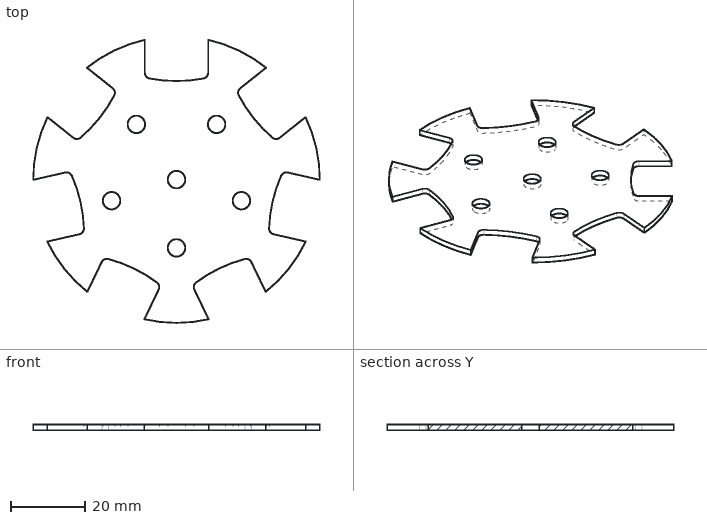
import cadquery as cq
import math

outer_radius = 38.7
thickness = 1.6

slot_count = 7
slot_width = 17.05
slot_floor_distance = 26.65
floor_arc_radius = 38.7
slot_corner_radius = 1.55

hole_diameter = 4.65
bolt_circle_radius = 18.4
bolt_hole_count = 5
first_bolt_angle = -90.0


def make_slot_cutter():
    """Open slot along +Y with a bulged floor and rounded floor corners."""
    half_width = slot_width / 2
    floor_rise = floor_arc_radius - math.sqrt(floor_arc_radius**2 - half_width**2)
    corner_y = slot_floor_distance + floor_rise
    open_end_y = outer_radius + slot_width
    return (
        cq.Workplane("XY")
        .moveTo(-half_width, open_end_y)
        .lineTo(-half_width, corner_y)
        .threePointArc((0, slot_floor_distance), (half_width, corner_y))
        .lineTo(half_width, open_end_y)
        .close()
        .extrude(thickness)
        .edges("|Z and (not >Y)")
        .fillet(slot_corner_radius)
    )


disc = cq.Workplane("XY").circle(outer_radius).extrude(thickness)

slot_cutter = make_slot_cutter()
for index in range(slot_count):
    slot_angle = index * 360 / slot_count
    disc = disc.cut(slot_cutter.rotate((0, 0, 0), (0, 0, 1), slot_angle))

center_hole = cq.Workplane("XY").circle(hole_diameter / 2).extrude(thickness)
bolt_holes = (
    cq.Workplane("XY")
    .polarArray(bolt_circle_radius, first_bolt_angle, 360, bolt_hole_count)
    .circle(hole_diameter / 2)
    .extrude(thickness)
)

result = disc.cut(center_hole).cut(bolt_holes)